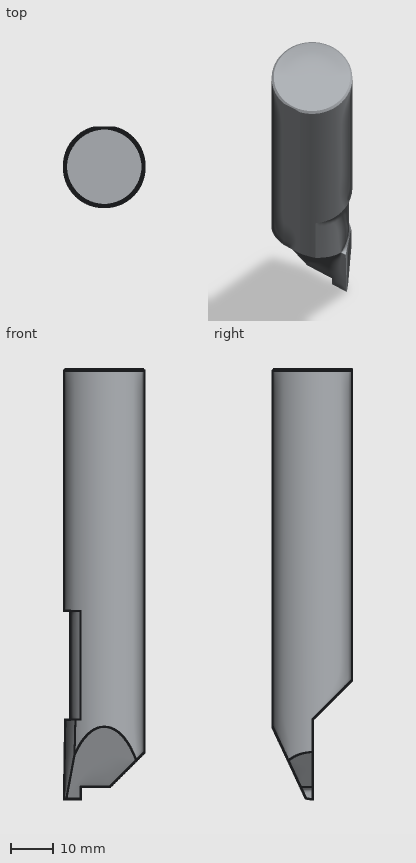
import cadquery as cq
import math

shank_diameter = 19.05
shank_radius = shank_diameter / 2
overall_length = 101.6
top_chamfer = 0.5
width_across_flat = 18.8
back_flat_y = width_across_flat - shank_radius

head_height = 18.9
rake_runout_angle = 45.0

recess_length = 25.6
recess_depth = 1.5
recess_radius = 13.4

front_clearance_angle = 25.0
tip_thickness = 1.5
side_clearance_angle = 20.0
side_taper_angle = 0.9
tip_clearance_angle = 10.0

tip_width = 4.0
tip_height = 3.0
shoulder_end_x = 1.3
corner_angle = 45.0

margin = 5.0
reach = shank_diameter + margin


def rise(run, angle):
    """Height gained over a run at an angle in degrees."""
    return run * math.tan(math.radians(angle))


def prism_along_x(points):
    """Prism of a YZ outline spanning the whole bar in X."""
    return cq.Workplane("YZ").polyline(points).close().extrude(reach, both=True)


def make_shank():
    bar = cq.Workplane("XY").circle(shank_radius).extrude(overall_length)
    bar = bar.faces(">Z").chamfer(top_chamfer)
    flat_cut = (
        cq.Workplane("XY")
        .box(2 * reach, reach, overall_length + 2 * margin, centered=(True, False, False))
        .translate((0, back_flat_y, -margin))
    )
    return bar.cut(flat_cut)


def rake_cut():
    """Opens the flat rake face on Y = 0 and the slope above it."""
    slope_top = head_height + rise(reach, rake_runout_angle)
    return prism_along_x([(0, -margin), (reach, -margin), (reach, slope_top), (0, head_height)])


def front_clearance_cut():
    """Slopes the -Y side down to the thin tip."""
    def face_y(z):
        return -tip_thickness - rise(z, front_clearance_angle)

    top_z = head_height + margin
    return prism_along_x([
        (face_y(-margin), -margin),
        (-reach, -margin),
        (-reach, top_z),
        (face_y(top_z), top_z),
    ])


def recess_cut():
    """Space outside a large convex arc, along the recess length."""
    center_x = recess_radius - (shank_radius - recess_depth)
    band = cq.Workplane("XY").workplane(offset=head_height)
    outside = band.rect(2 * reach, 2 * reach).extrude(recess_length)
    kept = band.center(center_x, 0).circle(recess_radius).extrude(recess_length)
    return outside.cut(kept)


def side_clearance_cut():
    """Flank behind the -X cutting edge, leaning inward toward the top."""
    def flank_outline(z):
        edge_x = -shank_radius + rise(z, side_taper_angle)
        return [
            (edge_x - rise(margin, side_clearance_angle), margin),
            (edge_x + rise(reach, side_clearance_angle), -reach),
            (-2 * reach, -reach),
            (-2 * reach, margin),
        ]

    lower = cq.Workplane("XY").polyline(flank_outline(0)).close()
    upper = lower.workplane(offset=head_height).polyline(flank_outline(head_height)).close()
    return upper.loft(ruled=True)


def end_profile_cut():
    """Shoulder beside the tip and the sloping corner on the +X side."""
    tip_x = -shank_radius + tip_width
    outline = [
        (tip_x, -margin),
        (tip_x, tip_height),
        (shoulder_end_x, tip_height),
        (reach, tip_height + rise(reach - shoulder_end_x, corner_angle)),
        (reach, -margin),
    ]
    return cq.Workplane("XZ").polyline(outline).close().extrude(reach, both=True)


def tip_clearance_cut():
    """Raises the end face of the tip behind its cutting edge."""
    return prism_along_x([(0, 0), (-reach, rise(reach, tip_clearance_angle)), (-reach, -margin), (0, -margin)])


result = make_shank()
for cut in (
    rake_cut(),
    front_clearance_cut(),
    recess_cut(),
    side_clearance_cut(),
    end_profile_cut(),
    tip_clearance_cut(),
):
    result = result.cut(cut)